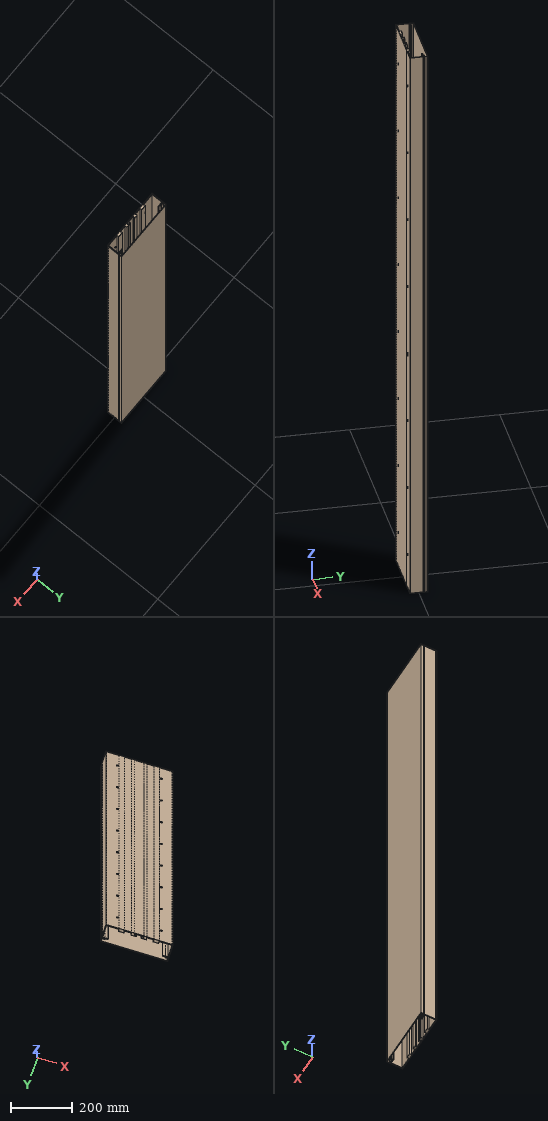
import cadquery as cq

width = 230.0
depth = 60.0
length = 2000.0

base_depth = 47.0
base_wall = 3.0
ledge_reach = 22.0

lid_wall = 2.0
lid_flange_reach = 12.0
lid_flange_thickness = 3.0

rib_width = 18.5
rib_height = 7.0
outer_rib_start = 50.0
inner_rib_start = 8.0
hook_thickness = 2.5
hook_overhang = 7.5

hole_diameter = 6.0
hole_x = 75.0
hole_count = 8
hole_pitch = length / hole_count

half_width = width / 2
front_y = -depth / 2
back_y = depth / 2
floor_y = front_y + base_wall
rib_tip_y = floor_y + rib_height
joint_y = front_y + base_depth


def bar(x_min, x_max, y_min, y_max):
    """Full-length rectangular bar."""
    return (
        cq.Workplane("XY", origin=((x_min + x_max) / 2, (y_min + y_max) / 2, -length / 2))
        .rect(x_max - x_min, y_max - y_min)
        .extrude(length)
    )


def mirrored_bars(x_min, x_max, y_min, y_max):
    """A full-length bar at +X and its mirror image at -X."""
    return bar(x_min, x_max, y_min, y_max).union(bar(-x_max, -x_min, y_min, y_max))


def make_ribs():
    """Outer ribs are plain; inner ribs overhang towards the middle as hooks."""
    outer_ribs = mirrored_bars(outer_rib_start, outer_rib_start + rib_width, front_y, rib_tip_y)
    inner_rib_end = inner_rib_start + rib_width
    stems = mirrored_bars(inner_rib_start + hook_overhang, inner_rib_end, front_y, rib_tip_y)
    hooks = mirrored_bars(inner_rib_start, inner_rib_end, rib_tip_y - hook_thickness, rib_tip_y)
    return outer_ribs.union(stems).union(hooks)


def make_mounting_holes():
    """Two rows of round holes along the base floor."""
    return (
        cq.Workplane("XZ", origin=(0, floor_y, 0))
        .rarray(2 * hole_x, hole_pitch, 2, hole_count)
        .circle(hole_diameter / 2)
        .extrude(base_wall)
    )


def make_base():
    """Floor, two side walls with inward ledges, ribs and mounting holes."""
    floor = bar(-half_width, half_width, front_y, floor_y)
    walls = mirrored_bars(half_width - base_wall, half_width, front_y, joint_y)
    ledges = mirrored_bars(half_width - ledge_reach, half_width, joint_y - base_wall, joint_y)
    return floor.union(walls).union(ledges).union(make_ribs()).cut(make_mounting_holes())


def make_lid():
    """Cover plate, two skirts and the inward flanges that rest on the base ledges."""
    plate = bar(-half_width, half_width, back_y - lid_wall, back_y)
    skirts = mirrored_bars(half_width - lid_wall, half_width, joint_y, back_y)
    flange_top_y = joint_y + lid_flange_thickness
    flanges = mirrored_bars(half_width - lid_flange_reach, half_width, joint_y, flange_top_y)
    return plate.union(skirts).union(flanges)


base = make_base()
lid = make_lid()

result = cq.Compound.makeCompound([base.val(), lid.val()])